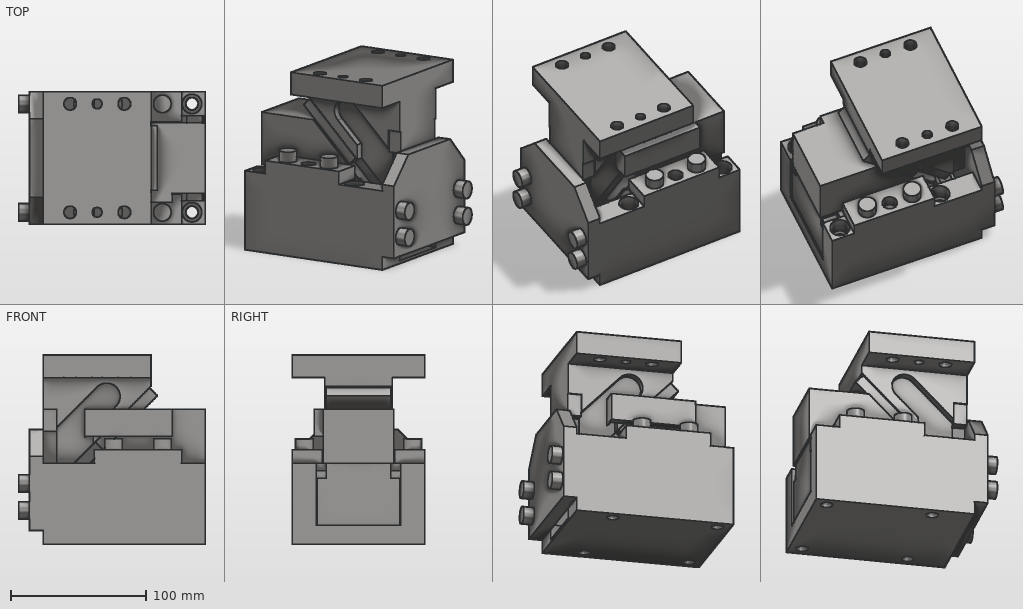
import cadquery as cq
import math

LENGTH = 120.0
WIDTH = 98.0
HEIGHT = 140.0
WALL_TOP = 60.0
WEDGE_TOP = 100.0
HOLE_ROW_Y = 40.0
FASTENER_DIA = 13.0
FASTENER_HEAD = 8.0

RAM_RISE = 37.0
WEDGE_RISE = 25.2
FLANGE_RISE = 22.4

CHANNEL_HALF = 31.4
CHANNEL_FLOOR = 14.0
GIB_START = 38.0
GIB_LENGTH = 64.4
GIB_HEIGHT = 10.0
GIB_INNER = 26.7
GIB_HOLE_DIA = 10.9
GIB_SCREW_SPACING = 36.0
BOLT_X = (30.0, 110.0)
BOLT_DIA = 9.0
COUNTERBORE_DIA = 14.4
COUNTERBORE_DEPTH = 14.0
END_PLATE = 10.1
END_PLATE_BOTTOM = 10.1
END_PLATE_TOP = 85.0
END_PLATE_CHAMFER = 20.0
END_SCREW_Z = (25.0, 45.1)
WINDOW_HALF = 25.0
WINDOW_BOTTOM = 2.2
WINDOW_DEPTH = 10.0
TUNNEL_HALF = 21.1
TUNNEL_BOTTOM = 5.2
TUNNEL_RADIUS = 5.9
TUNNEL_LENGTH = 84.0

WEDGE_HALF = 26.0
NECK_HALF = 24.0
NECK_END = 118.7
NOSE_X = 24.5
NOSE_RADIUS = 6.3
FLANGE_STEP_X = 106.3
FLANGE_END = 117.5
FLANGE_STEP = 5.6
TAIL_HALF = 30.5
KEY_START = 31.0
KEY_LENGTH = 64.4
KEY_HEIGHT = 20.2
KEY_OUTER = 32.8
TOOTH_INNER = 19.9

PLATE_LENGTH = 80.0
PLATE_THICKNESS = 17.0
PLATE_HOLES = ((20.0, 9.2), (40.0, 7.1), (60.0, 9.2))
STEM_HALF = 25.0
WEB_HALF = 18.8
STEM_START = 10.1
PAD_BOTTOM = 83.5
PAD_HALF = 23.8
TONGUE_HALF = 16.5
SLOT_X = 47.0
SLOT_Z = 109.2
SLOT_RADIUS = 10.0
LOWER_RIB_X = 37.2
LINER_START = 38.6
LINER_END = 78.7
LINER_HALF = 24.0

SLOT_OFFSET = SLOT_RADIUS * math.sqrt(2)
SLOT_TOP_RISE = SLOT_Z - SLOT_X + SLOT_OFFSET
SLOT_BOTTOM_RISE = SLOT_Z - SLOT_X - SLOT_OFFSET


def box(x0, x1, y0, y1, z0, z1):
    return cq.Workplane("XY").box(x1 - x0, y1 - y0, z1 - z0, centered=False).translate((x0, y0, z0))


def side_prism(points, y0, y1):
    """Polygon of (X, Z) points extruded from y0 to y1."""
    return cq.Workplane("XZ", origin=(0, y0, 0)).polyline(points).close().extrude(y0 - y1)


def post(x, y, z0, z1, diameter):
    return cq.Workplane("XY", origin=(x, y, z0)).circle(diameter / 2).extrude(z1 - z0)


def make_gib(side):
    """Raised rail on one side wall, overhanging the channel, with two screw heads and a hole."""
    inner, outer = sorted((side * GIB_INNER, side * WIDTH / 2))
    top = WALL_TOP + GIB_HEIGHT
    middle = GIB_START + GIB_LENGTH / 2
    gib = box(GIB_START, GIB_START + GIB_LENGTH, inner, outer, WALL_TOP, top)
    y = side * HOLE_ROW_Y
    gib = gib.cut(post(middle, y, WALL_TOP, top, GIB_HOLE_DIA))
    for x in (middle - GIB_SCREW_SPACING / 2, middle + GIB_SCREW_SPACING / 2):
        gib = gib.union(post(x, y, top, top + FASTENER_HEAD, FASTENER_DIA))
    return gib


def make_end_plate():
    """Plate with two sloping top corners and four screw heads, closing the -X end."""
    half = WIDTH / 2
    shoulder = END_PLATE_TOP - END_PLATE_CHAMFER
    flat_half = half - END_PLATE_CHAMFER
    outline = [(-half, END_PLATE_BOTTOM), (half, END_PLATE_BOTTOM), (half, shoulder),
               (flat_half, END_PLATE_TOP), (-flat_half, END_PLATE_TOP), (-half, shoulder)]
    plate = cq.Workplane("YZ").polyline(outline).close().extrude(-END_PLATE)
    heads = (cq.Workplane("YZ", origin=(-END_PLATE, 0, 0))
             .pushPoints([(side * HOLE_ROW_Y, z) for side in (-1, 1) for z in END_SCREW_Z])
             .circle(FASTENER_DIA / 2).extrude(-FASTENER_HEAD))
    return plate.union(heads)


def make_base():
    base = box(0, LENGTH, -WIDTH / 2, WIDTH / 2, 0, WALL_TOP)
    base = base.cut(box(0, LENGTH, -CHANNEL_HALF, CHANNEL_HALF, CHANNEL_FLOOR, WALL_TOP))

    base = base.cut(box(0, WINDOW_DEPTH, -WINDOW_HALF, WINDOW_HALF, WINDOW_BOTTOM, CHANNEL_FLOOR))
    tunnel = box(0, TUNNEL_LENGTH, -TUNNEL_HALF, TUNNEL_HALF, TUNNEL_BOTTOM, CHANNEL_FLOOR)
    base = base.cut(tunnel.edges("|X and <Z").fillet(TUNNEL_RADIUS))

    for x in BOLT_X:
        for side in (-1, 1):
            y = side * HOLE_ROW_Y
            base = base.cut(post(x, y, 0, WALL_TOP, BOLT_DIA))
            base = base.cut(post(x, y, WALL_TOP - COUNTERBORE_DEPTH, WALL_TOP, COUNTERBORE_DIA))

    for side in (-1, 1):
        base = base.union(make_gib(side))
    return base.union(make_end_plate())


def make_flanges():
    """Wide foot of the wedge, held under the gibs, stepping down to a slightly narrower tail at +X."""
    low = WALL_TOP - FLANGE_STEP
    outline = [(NOSE_X, CHANNEL_FLOOR), (FLANGE_END, CHANNEL_FLOOR), (FLANGE_END, low),
               (FLANGE_STEP_X, low), (FLANGE_STEP_X, WALL_TOP),
               (WALL_TOP - FLANGE_RISE, WALL_TOP), (NOSE_X, NOSE_X + FLANGE_RISE)]
    tail = box(FLANGE_END, NECK_END, -TAIL_HALF, TAIL_HALF, CHANNEL_FLOOR, low - FLANGE_STEP)
    return side_prism(outline, -CHANNEL_HALF, CHANNEL_HALF).union(tail)


def make_neck():
    """Narrow middle of the wedge with a round-cornered nose and an inclined top."""
    neck = box(NOSE_X, NECK_END, -NECK_HALF, NECK_HALF, CHANNEL_FLOOR, WALL_TOP)
    neck = neck.edges("|Z and <X").fillet(NOSE_RADIUS)
    above_slope = [(NOSE_X, NOSE_X + WEDGE_RISE), (WALL_TOP - WEDGE_RISE, WALL_TOP), (NOSE_X, WALL_TOP)]
    return neck.cut(side_prism(above_slope, -NECK_HALF, NECK_HALF))


def make_key():
    """Bar on the -Y side of the wedge, with an inner tooth that runs in the ram slot."""
    bottom = WEDGE_TOP - KEY_HEIGHT
    bar = box(KEY_START, KEY_START + KEY_LENGTH, -KEY_OUTER, -WEDGE_HALF, bottom, WEDGE_TOP)
    tooth = [(KEY_START, KEY_START + SLOT_BOTTOM_RISE), (WEDGE_TOP - SLOT_BOTTOM_RISE, WEDGE_TOP),
             (KEY_START, WEDGE_TOP)]
    return bar.union(side_prism(tooth, -WEDGE_HALF, -TOOTH_INNER))


def make_wedge():
    block = [(WALL_TOP - WEDGE_RISE, WALL_TOP), (LENGTH, WALL_TOP), (LENGTH, WEDGE_TOP),
             (WEDGE_TOP - WEDGE_RISE, WEDGE_TOP)]
    wedge = side_prism(block, -WEDGE_HALF, WEDGE_HALF)
    return wedge.union(make_neck()).union(make_flanges()).union(make_key())


def make_slot(side):
    """Inclined round-ended slot in one stem side, opening into the relief below it."""
    y0, y1 = sorted((side * WEB_HALF, side * STEM_HALF))
    run = [(STEM_START, STEM_START + SLOT_TOP_RISE),
           (SLOT_X - SLOT_OFFSET / 2, SLOT_Z + SLOT_OFFSET / 2),
           (SLOT_X + SLOT_OFFSET / 2, SLOT_Z - SLOT_OFFSET / 2),
           (LOWER_RIB_X, LOWER_RIB_X + SLOT_BOTTOM_RISE),
           (LOWER_RIB_X, LOWER_RIB_X + RAM_RISE),
           (STEM_START, STEM_START + RAM_RISE)]
    round_end = (cq.Workplane("XZ", origin=(0, y0, 0)).center(SLOT_X, SLOT_Z)
                 .circle(SLOT_RADIUS).extrude(y0 - y1))
    return side_prism(run, y0, y1).union(round_end)


def make_liner():
    """Slide strip under the ram: wide at the top, a narrow tongue further down."""
    drop = (RAM_RISE - WEDGE_RISE) / 2

    def strip(x0, x1, half):
        outline = [(x0, x0 + RAM_RISE), (x1, x1 + RAM_RISE),
                   (x1 + drop, x1 + drop + WEDGE_RISE), (x0 + drop, x0 + drop + WEDGE_RISE)]
        return side_prism(outline, -half, half)

    wide = strip(LINER_START, LINER_END, LINER_HALF)
    return wide.union(strip(STEM_START, LINER_START, TONGUE_HALF))


def make_ram():
    plate_bottom = HEIGHT - PLATE_THICKNESS
    stem = [(0, plate_bottom), (0, WEDGE_TOP), (STEM_START, WEDGE_TOP), (STEM_START, STEM_START + RAM_RISE),
            (PLATE_LENGTH, PLATE_LENGTH + RAM_RISE), (PLATE_LENGTH, plate_bottom)]
    ram = side_prism(stem, -STEM_HALF, STEM_HALF)
    for side in (-1, 1):
        ram = ram.cut(make_slot(side))

    stem_tip = STEM_START + RAM_RISE
    ram = ram.union(box(0, STEM_START, -PAD_HALF, PAD_HALF, PAD_BOTTOM, WEDGE_TOP))
    ram = ram.union(box(0, STEM_START, -TONGUE_HALF, TONGUE_HALF, stem_tip, PAD_BOTTOM))

    plate = box(0, PLATE_LENGTH, -WIDTH / 2, WIDTH / 2, plate_bottom, HEIGHT)
    for x, diameter in PLATE_HOLES:
        for side in (-1, 1):
            plate = plate.cut(post(x, side * HOLE_ROW_Y, plate_bottom, HEIGHT, diameter))
    return ram.union(plate).union(make_liner())


base = make_base()
wedge = make_wedge()
ram = make_ram()

result = cq.Compound.makeCompound([base.val(), wedge.val(), ram.val()])